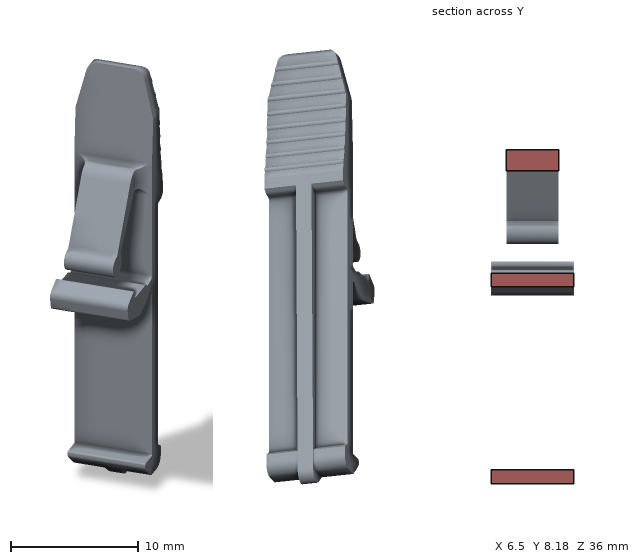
import cadquery as cq
import math


WIDTH = 6.5
LENGTH = 35.96

STRIP_THICKNESS = 1.33
HEAD_THICKNESS = 2.52
TIP_BACK = 1.75
TIP_FRONT = 0.57
TIP_BACK_RADIUS = 0.75
FRONT_TAPER_END_Z = 28.1
GRIP_TOP_Z = 31.8
GRIP_BOTTOM_Z = 25.3
GRIP_DROP = GRIP_TOP_Z - GRIP_BOTTOM_Z
GRIP_RISE = HEAD_THICKNESS - TIP_BACK
GRIP_RADIUS = (GRIP_DROP ** 2 + GRIP_RISE ** 2) / (2 * GRIP_RISE)
SHOULDER_TOP_Z = 24.45
SHOULDER_BEND_Z = 24.15
SHOULDER_BOTTOM_Z = 24.02
SHOULDER_STEEP_WIDTH = 0.4
SHOULDER_BEND_RADIUS = 0.6
SHOULDER_BOTTOM_RADIUS = 0.25

RIDGE_COUNT = 8
RIDGE_TOP_Z = 34.6
RIDGE_PITCH = 1.22
RIDGE_RADIUS = 0.25
RIDGE_HEIGHT = 0.1

TIP_HALF_WIDTH = 2.24
TIP_TAPER_Z = 31.94
TIP_CORNER_RADIUS = 1.0
TIP_TAPER_BLEND_RADIUS = 1.2

FOOT_REACH = 1.54
FOOT_TOP_Z = 2.5
FOOT_NOSE_Z = 2.03
FOOT_BOTTOM_Z = 0.85
FOOT_SLOPE_END_Y = -0.12
FOOT_BACK = 2.03
FOOT_HEEL_TOP_Z = 2.44
FOOT_RAMP_TOP_Z = 2.88
FOOT_HEEL_RADIUS = 0.9
FOOT_NOSE_TOP_RADIUS = 0.15
FOOT_NOSE_BOTTOM_RADIUS = 0.4
FOOT_ROOT_RADIUS = 0.08

RIB_WIDTH = 1.28
RIB_BOTTOM_BACK = 2.07
TAIL_RADIUS = 0.865

CATCH_ROOT_TOP = (0, 18.1)
CATCH_GROOVE = (-0.98, 17.92)
CATCH_SHELF_START = (-1.4, 18.19)
CATCH_SHELF_END = (-3.92, 18.19)
CATCH_LIP_TOP = (-4.02, 18.96)
CATCH_NOSE_TOP = (-5.65, 18.2)
CATCH_NOSE_BOTTOM = (-5.32, 16.78)
CATCH_BELLY = (-2.65, 16.15)
CATCH_NECK = (-0.6, 16.93)
CATCH_ROOT_BOTTOM = (0, 16.93)
CATCH_ROOT_RADIUS = 0.3
CATCH_NOSE_TOP_RADIUS = 0.55
CATCH_NOSE_BOTTOM_RADIUS = 0.35
CATCH_LIP_RADIUS = 0.18
CATCH_SHELF_END_RADIUS = 0.15
CATCH_GROOVE_RADIUS = 0.2
CATCH_SHELF_START_RADIUS = 0.5
CATCH_NECK_RADIUS = 0.6
CATCH_BELLY_RADIUS = 1.0

ARM_WIDTH = 4.1
ARM_ROOT_WIDTH = 6.0
ARM_TOP_Z = 27.7
ARM_UNDER_Z = 25.98
ARM_TOP_BEND = (-1.26, ARM_TOP_Z)
ARM_UNDER_BEND = (-0.77, ARM_UNDER_Z)
ARM_TOP_BEND_RADIUS = 1.45
ARM_UNDER_BEND_RADIUS = 0.25
ARM_TOP_ROOT_RADIUS = 0.4
ARM_UNDER_ROOT_RADIUS = 0.58
ARM_NECK_TOP = (-4.67, 22.03)
ARM_NECK_UNDER = (-3.8, 22.03)
BALL_CENTER = (-4.66, 21.24)
BALL_RADIUS = 1.0
BALL_SHOULDER_RADIUS = 0.7
ARM_NECK_RADIUS = 0.6
BALL_START_ANGLE = 32
BALL_END_ANGLE = 28
EMBED = 0.5
ROOT_MARGIN = 0.01


def extrude_across(outline, width):
    """Extrude a closed Y-Z outline symmetrically about X = 0."""
    return outline.extrude(width / 2, both=True)


def round_corner(solid, corner, radius):
    """Fillet the X-direction edge nearest to a (y, z) corner at mid-width."""
    nearest = cq.selectors.NearestToPointSelector((0, corner[0], corner[1]))
    return solid.edges("|X").edges(nearest).fillet(radius)


def round_corners(solid, corners):
    """Fillet several X-direction edges, each given as ((y, z), radius)."""
    for corner, radius in corners:
        solid = round_corner(solid, corner, radius)
    return solid


def grip_back(z):
    """Y of the back of the head: straight at the tip, then a tangent arc."""
    drop = max(0, GRIP_TOP_Z - z)
    return TIP_BACK + GRIP_RADIUS - math.sqrt(GRIP_RADIUS ** 2 - drop ** 2)


def rib_back(z):
    """Y of the slanted back face of the centre rib."""
    slope = (HEAD_THICKNESS - RIB_BOTTOM_BACK) / (GRIP_BOTTOM_Z - FOOT_BOTTOM_Z)
    return RIB_BOTTOM_BACK + slope * (z - FOOT_BOTTOM_Z)


def make_body():
    """Head, thin strip and hooked foot as one side outline."""
    tip_back = (TIP_BACK, LENGTH)
    grip_middle_z = (GRIP_TOP_Z + GRIP_BOTTOM_Z) / 2
    shoulder_top = (rib_back(SHOULDER_TOP_Z), SHOULDER_TOP_Z)
    shoulder_bend = (shoulder_top[0] - SHOULDER_STEEP_WIDTH, SHOULDER_BEND_Z)
    shoulder_bottom = (STRIP_THICKNESS, SHOULDER_BOTTOM_Z)
    heel = (FOOT_BACK, FOOT_BOTTOM_Z)
    outline = (
        cq.Workplane("YZ")
        .moveTo(TIP_FRONT, LENGTH)
        .lineTo(*tip_back)
        .lineTo(TIP_BACK, GRIP_TOP_Z)
        .threePointArc((grip_back(grip_middle_z), grip_middle_z), (HEAD_THICKNESS, GRIP_BOTTOM_Z))
        .lineTo(*shoulder_top)
        .lineTo(*shoulder_bend)
        .lineTo(*shoulder_bottom)
        .lineTo(STRIP_THICKNESS, FOOT_RAMP_TOP_Z)
        .lineTo(FOOT_BACK, FOOT_HEEL_TOP_Z)
        .lineTo(*heel)
        .lineTo(FOOT_SLOPE_END_Y, FOOT_BOTTOM_Z)
        .lineTo(-FOOT_REACH, FOOT_NOSE_Z)
        .lineTo(-FOOT_REACH, FOOT_TOP_Z)
        .lineTo(0, FOOT_TOP_Z)
        .lineTo(0, FRONT_TAPER_END_Z)
        .close()
    )
    rounded_corners = [
        (tip_back, TIP_BACK_RADIUS),
        (shoulder_bend, SHOULDER_BEND_RADIUS),
        (shoulder_bottom, SHOULDER_BOTTOM_RADIUS),
        ((-FOOT_REACH, FOOT_TOP_Z), FOOT_NOSE_TOP_RADIUS),
        ((-FOOT_REACH, FOOT_NOSE_Z), FOOT_NOSE_BOTTOM_RADIUS),
        ((0, FOOT_TOP_Z), FOOT_ROOT_RADIUS),
        (heel, FOOT_HEEL_RADIUS),
    ]
    return round_corners(extrude_across(outline, WIDTH), rounded_corners)


def add_grip_ridges(body):
    """Low rounded ridges across the back of the head."""
    for index in range(RIDGE_COUNT):
        z = RIDGE_TOP_Z - index * RIDGE_PITCH
        center_y = grip_back(z) + RIDGE_HEIGHT - RIDGE_RADIUS
        ridge = cq.Workplane("YZ").center(center_y, z).circle(RIDGE_RADIUS)
        body = body.union(extrude_across(ridge, WIDTH))
    return body


def make_tip_envelope():
    """Front outline of the part: straight sides narrowing to a rounded tip."""
    half = WIDTH / 2
    envelope = (
        cq.Workplane("XZ")
        .polyline([
            (-half, 0),
            (half, 0),
            (half, TIP_TAPER_Z),
            (TIP_HALF_WIDTH, LENGTH),
            (-TIP_HALF_WIDTH, LENGTH),
            (-half, TIP_TAPER_Z),
        ])
        .close()
        .extrude(2 * WIDTH, both=True)
    )
    for side in (-1, 1):
        tip_corner = cq.selectors.NearestToPointSelector((side * TIP_HALF_WIDTH, 0, LENGTH))
        envelope = envelope.edges("|Y").edges(tip_corner).fillet(TIP_CORNER_RADIUS)
        taper_start = cq.selectors.NearestToPointSelector((side * half, 0, TIP_TAPER_Z))
        envelope = envelope.edges("|Y").edges(taper_start).fillet(TIP_TAPER_BLEND_RADIUS)
    return envelope


def make_rib():
    """Narrow rib along the back of the strip, ending in a rounded tail below the foot."""
    slope = (FOOT_NOSE_Z - FOOT_BOTTOM_Z) / (FOOT_REACH + FOOT_SLOPE_END_Y)
    tail_corner = (RIB_BOTTOM_BACK, FOOT_BOTTOM_Z - slope * (RIB_BOTTOM_BACK - FOOT_SLOPE_END_Y))
    outline = (
        cq.Workplane("YZ")
        .polyline([
            (STRIP_THICKNESS / 2, GRIP_BOTTOM_Z),
            (HEAD_THICKNESS, GRIP_BOTTOM_Z),
            (RIB_BOTTOM_BACK, FOOT_BOTTOM_Z),
            tail_corner,
            (FOOT_SLOPE_END_Y, FOOT_BOTTOM_Z),
            (STRIP_THICKNESS / 2, FOOT_TOP_Z),
        ])
        .close()
    )
    return round_corner(extrude_across(outline, RIB_WIDTH), tail_corner, TAIL_RADIUS)


def make_catch():
    """Full-width ledge with a relief groove at its root and a hooked nose."""
    outline = (
        cq.Workplane("YZ")
        .polyline([
            (STRIP_THICKNESS, CATCH_ROOT_TOP[1]),
            CATCH_ROOT_TOP,
            CATCH_GROOVE,
            CATCH_SHELF_START,
            CATCH_SHELF_END,
            CATCH_LIP_TOP,
            CATCH_NOSE_TOP,
            CATCH_NOSE_BOTTOM,
            CATCH_BELLY,
            CATCH_NECK,
            CATCH_ROOT_BOTTOM,
            (STRIP_THICKNESS, CATCH_ROOT_BOTTOM[1]),
        ])
        .close()
    )
    rounded_corners = [
        (CATCH_GROOVE, CATCH_GROOVE_RADIUS),
        (CATCH_SHELF_START, CATCH_SHELF_START_RADIUS),
        (CATCH_SHELF_END, CATCH_SHELF_END_RADIUS),
        (CATCH_LIP_TOP, CATCH_LIP_RADIUS),
        (CATCH_NOSE_TOP, CATCH_NOSE_TOP_RADIUS),
        (CATCH_NOSE_BOTTOM, CATCH_NOSE_BOTTOM_RADIUS),
        (CATCH_BELLY, CATCH_BELLY_RADIUS),
        (CATCH_NECK, CATCH_NECK_RADIUS),
    ]
    return round_corners(extrude_across(outline, WIDTH), rounded_corners)


def ball_point(angle):
    """Point of the arm's round end at an angle in degrees from the -Y direction."""
    turn = math.radians(angle)
    return (
        BALL_CENTER[0] - BALL_RADIUS * math.cos(turn),
        BALL_CENTER[1] + BALL_RADIUS * math.sin(turn),
    )


def make_arm():
    """Slanted spring arm whose root flares out to meet the strip."""
    root_top = ARM_TOP_Z + ARM_TOP_ROOT_RADIUS + ROOT_MARGIN
    root_bottom = ARM_UNDER_Z - ARM_UNDER_ROOT_RADIUS - ROOT_MARGIN
    side = extrude_across(
        cq.Workplane("YZ")
        .moveTo(EMBED, root_top)
        .lineTo(0, root_top)
        .lineTo(0, ARM_TOP_Z)
        .lineTo(*ARM_TOP_BEND)
        .lineTo(*ARM_NECK_TOP)
        .lineTo(*ball_point(BALL_START_ANGLE))
        .threePointArc(ball_point(-90), ball_point(180 - BALL_END_ANGLE))
        .lineTo(*ARM_NECK_UNDER)
        .lineTo(*ARM_UNDER_BEND)
        .lineTo(0, ARM_UNDER_Z)
        .lineTo(0, root_bottom)
        .lineTo(EMBED, root_bottom)
        .close(),
        ARM_ROOT_WIDTH,
    )
    rounded_corners = [
        ((0, ARM_TOP_Z), ARM_TOP_ROOT_RADIUS),
        (ARM_TOP_BEND, ARM_TOP_BEND_RADIUS),
        (ARM_NECK_TOP, ARM_NECK_RADIUS),
        (ball_point(BALL_START_ANGLE), BALL_SHOULDER_RADIUS),
        ((0, ARM_UNDER_Z), ARM_UNDER_ROOT_RADIUS),
        (ARM_UNDER_BEND, ARM_UNDER_BEND_RADIUS),
    ]
    side = round_corners(side, rounded_corners)

    half_root = ARM_ROOT_WIDTH / 2
    half_arm = ARM_WIDTH / 2
    flare = half_root - half_arm
    arm_end = BALL_CENTER[0] - 2 * BALL_RADIUS
    arc_inset = flare * (1 - math.sqrt(0.5))
    plan = (
        cq.Workplane("XY")
        .moveTo(-half_root, EMBED)
        .lineTo(-half_root, 0)
        .threePointArc((-half_arm - arc_inset, -arc_inset), (-half_arm, -flare))
        .lineTo(-half_arm, arm_end)
        .lineTo(half_arm, arm_end)
        .lineTo(half_arm, -flare)
        .threePointArc((half_arm + arc_inset, -arc_inset), (half_root, 0))
        .lineTo(half_root, EMBED)
        .close()
        .extrude(LENGTH)
    )
    return side.intersect(plan)


def make_part():
    """Join all features, then blend the catch into the strip."""
    body = add_grip_ridges(make_body()).intersect(make_tip_envelope())
    part = body.union(make_rib()).union(make_catch()).union(make_arm())
    catch_roots = [
        (CATCH_ROOT_TOP, CATCH_ROOT_RADIUS),
        (CATCH_ROOT_BOTTOM, CATCH_ROOT_RADIUS),
    ]
    return round_corners(part, catch_roots)


result = make_part()